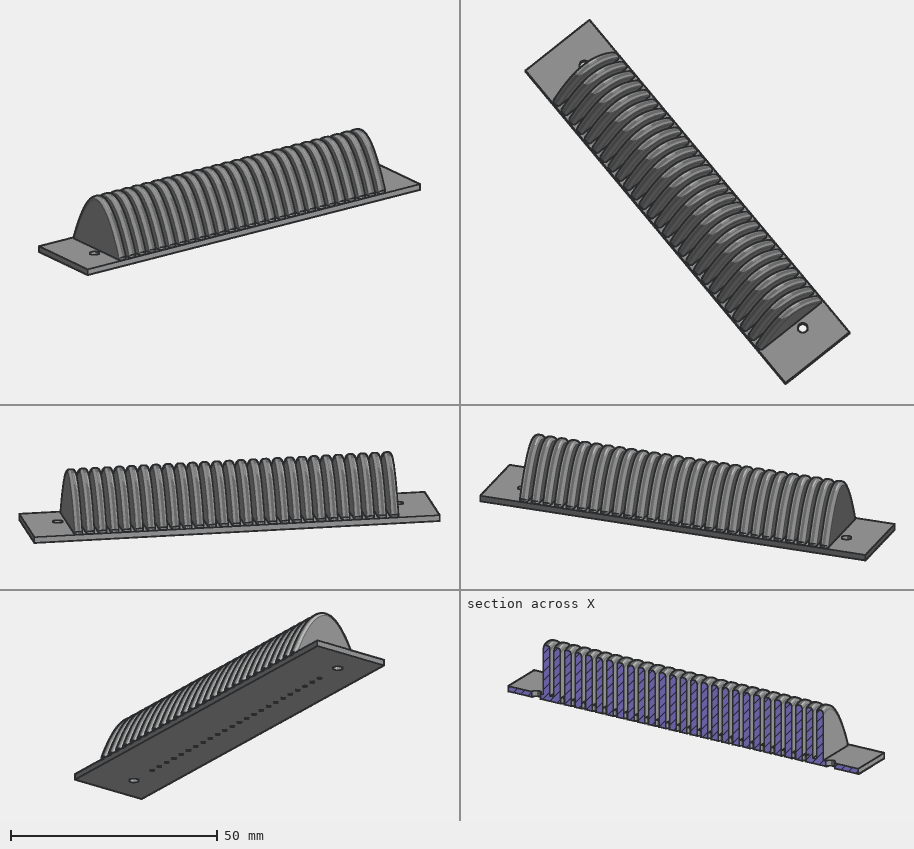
import cadquery as cq

plate_width = 20.0
plate_length = 100.0
plate_thickness = 1.5

total_height = 15.0
fin_count = 27
fin_thickness = 2.0
fin_pitch = 3.0
fin_edge_radius = 0.8
fin_foot_height = 0.7
fin_half_width = 9.8
first_fin_y = -fin_pitch * (fin_count - 1) / 2

hole_line_x = 1.9
mounting_hole_diameter = 2.4
mounting_hole_y = 42.0
small_hole_diameter = 1.0
small_hole_count = fin_count - 3
first_small_hole_y = -fin_pitch * (small_hole_count - 1) / 2


def make_plate():
    """Flat plate with two mounting holes and a small hole in each inner gap."""
    plate = cq.Workplane("XY").box(
        plate_width, plate_length, plate_thickness, centered=(True, True, False)
    )
    mounting_points = [(hole_line_x, -mounting_hole_y), (hole_line_x, mounting_hole_y)]
    small_points = [
        (hole_line_x, first_small_hole_y + index * fin_pitch) for index in range(small_hole_count)
    ]
    top = plate.faces(">Z").workplane(origin=(0, 0, 0))
    plate = top.pushPoints(mounting_points).hole(mounting_hole_diameter)
    top = plate.faces(">Z").workplane(origin=(0, 0, 0))
    return top.pushPoints(small_points).hole(small_hole_diameter)


def make_fin():
    """Upright parabolic fin on short straight feet, centred on Y = 0, with both outline edges rounded."""
    arch_bottom = plate_thickness + fin_foot_height
    left_foot = (-fin_half_width, arch_bottom)
    control_point = (0, 2 * total_height - arch_bottom)
    right_foot = (fin_half_width, arch_bottom)
    fin = (
        cq.Workplane("XZ")
        .moveTo(-fin_half_width, plate_thickness)
        .lineTo(*left_foot)
        .bezier([left_foot, control_point, right_foot])
        .lineTo(fin_half_width, plate_thickness)
        .close()
        .extrude(fin_thickness / 2, both=True)
    )
    return fin.faces("<Y or >Y").edges("not <Z").fillet(fin_edge_radius)


result = make_plate()
fin = make_fin()
for index in range(fin_count):
    result = result.union(fin.translate((0, first_fin_y + index * fin_pitch, 0)))